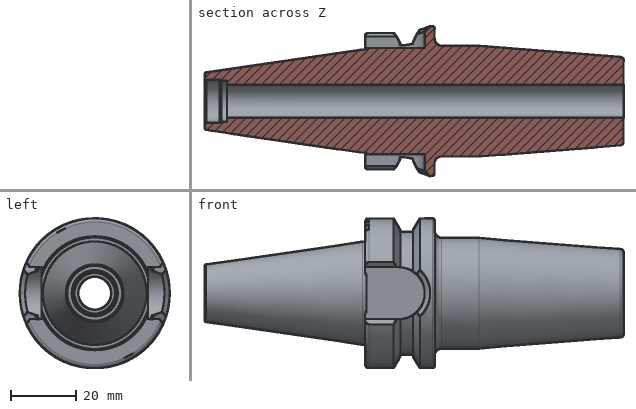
import cadquery as cq
import math

LENGTH = 128.4

GAUGE_X = 48.4
GAUGE_RADIUS = 15.86
TAPER_PER_LENGTH = 7 / 24
SMALL_END_RADIUS = GAUGE_RADIUS - GAUGE_X * TAPER_PER_LENGTH / 2
SHANK_CHAMFER = 0.4

FLANGE_RADIUS = 46.0 / 2
FLANGE_START = 49.2
FLANGE_END = 70.5
FRONT_FILLET = 1.2
BACK_FILLET = 0.8

RELIEF_DEPTH = 0.4
RELIEF_INNER_RADIUS = 17.1
RELIEF_OUTER_RADIUS = RELIEF_INNER_RADIUS + RELIEF_DEPTH

GROOVE_RADIUS = 18.9
GROOVE_STEP = 0.5
GROOVE_CENTER = 61.9
GROOVE_FLOOR_WIDTH = 3.9
GROOVE_WALL_ANGLE = 30.0

SLOT_WIDTH = 15.9
SLOT_FLOOR = 16.3
SLOT_ARC_CENTER = 59.5
SLOT_CHAMFER = 1.7

NOSE_RADIUS = 34.0 / 2
NECK_FILLET = 2.0
NOSE_TAPER_START = 84.0
NOSE_TAPER_ANGLE = 4.5
NOSE_END_FILLET = 1.3
NOSE_END_RADIUS = NOSE_RADIUS - (LENGTH - NOSE_TAPER_START) * math.tan(math.radians(NOSE_TAPER_ANGLE))

THROUGH_RADIUS = 10.0 / 2
PILOT_RADIUS = 13.1 / 2
PILOT_DEPTH = 4.6
SEAT_RADIUS = 12.5 / 2
SEAT_DEPTH = 6.8
STEP_LENGTH = 0.5
MOUTH_CHAMFER = 0.5


def turned(points):
    """Revolve a closed (x, radius) outline about the X axis."""
    return cq.Workplane("XY").polyline(points).close().revolve(360, (0, 0, 0), (1, 0, 0))


def make_shank():
    root_x = FLANGE_START + RELIEF_DEPTH
    shank = turned([
        (0, 0),
        (0, SMALL_END_RADIUS),
        (GAUGE_X, GAUGE_RADIUS),
        (root_x, GAUGE_RADIUS),
        (root_x, 0),
    ])
    return shank.faces("<X").edges().chamfer(SHANK_CHAMFER)


def make_drive_slot():
    half_width = SLOT_WIDTH / 2
    return (
        cq.Workplane("XZ", origin=(0, -SLOT_FLOOR, 0))
        .moveTo(0, half_width)
        .lineTo(SLOT_ARC_CENTER, half_width)
        .threePointArc((SLOT_ARC_CENTER + half_width, 0), (SLOT_ARC_CENTER, -half_width))
        .lineTo(0, -half_width)
        .close()
        .extrude(FLANGE_RADIUS)
    )


def make_groove():
    half_floor = GROOVE_FLOOR_WIDTH / 2
    wall_foot = GROOVE_RADIUS + GROOVE_STEP
    wall_run = (FLANGE_RADIUS - wall_foot) * math.tan(math.radians(GROOVE_WALL_ANGLE))
    half_mouth = half_floor + wall_run
    return turned([
        (GROOVE_CENTER - half_floor, GROOVE_RADIUS),
        (GROOVE_CENTER - half_floor, wall_foot),
        (GROOVE_CENTER - half_mouth, FLANGE_RADIUS),
        (GROOVE_CENTER - half_mouth, FLANGE_RADIUS + 1.3),
        (GROOVE_CENTER + half_mouth, FLANGE_RADIUS + 1.3),
        (GROOVE_CENTER + half_mouth, FLANGE_RADIUS),
        (GROOVE_CENTER + half_floor, wall_foot),
        (GROOVE_CENTER + half_floor, GROOVE_RADIUS),
    ])


def make_face_relief():
    return turned([
        (FLANGE_START, 0),
        (FLANGE_START, RELIEF_OUTER_RADIUS),
        (FLANGE_START + RELIEF_DEPTH, RELIEF_INNER_RADIUS),
        (FLANGE_START + RELIEF_DEPTH, 0),
    ])


def make_flange_envelope():
    """Rounded outside of the flange, without groove or slots."""
    blank = cq.Workplane("YZ", origin=(FLANGE_START, 0, 0)).circle(FLANGE_RADIUS)
    blank = blank.extrude(FLANGE_END - FLANGE_START)
    return blank.faces("<X").edges().fillet(FRONT_FILLET).faces(">X").edges().fillet(BACK_FILLET)


def make_flange():
    flange = cq.Workplane("YZ", origin=(FLANGE_START, 0, 0)).circle(FLANGE_RADIUS)
    flange = flange.extrude(FLANGE_END - FLANGE_START)
    slot = make_drive_slot()
    flange = flange.cut(slot).cut(slot.mirror("XZ"))
    clearance = 1.3
    half_mouth = SLOT_WIDTH / 2 + clearance
    for side in (-1, 1):
        mouth_y = sorted((side * (SLOT_FLOOR + clearance), side * (FLANGE_RADIUS + clearance)))
        mouth = cq.selectors.BoxSelector(
            (FLANGE_START + clearance, mouth_y[0], -half_mouth),
            (FLANGE_END - clearance, mouth_y[1], half_mouth),
        )
        flange = flange.edges(mouth).chamfer(SLOT_CHAMFER)
    return flange.intersect(make_flange_envelope()).cut(make_groove()).cut(make_face_relief())


def make_nose():
    nose = turned([
        (FLANGE_END, 0),
        (FLANGE_END, NOSE_RADIUS),
        (NOSE_TAPER_START, NOSE_RADIUS),
        (LENGTH, NOSE_END_RADIUS),
        (LENGTH, 0),
    ])
    return nose.faces(">X").edges().fillet(NOSE_END_FILLET)


def make_bore():
    return turned([
        (0, 0),
        (0, PILOT_RADIUS + MOUTH_CHAMFER),
        (MOUTH_CHAMFER, PILOT_RADIUS),
        (PILOT_DEPTH, PILOT_RADIUS),
        (PILOT_DEPTH + STEP_LENGTH, SEAT_RADIUS),
        (SEAT_DEPTH, SEAT_RADIUS),
        (SEAT_DEPTH, THROUGH_RADIUS),
        (LENGTH, THROUGH_RADIUS),
        (LENGTH, 0),
    ])


TOLERANCE = 0.01
body = make_flange().union(make_shank()).union(make_nose())
root_edges = [
    edge for edge in body.edges("%CIRCLE").vals()
    if abs(edge.Center().x - FLANGE_END) < TOLERANCE
    and abs(edge.radius() - NOSE_RADIUS) < TOLERANCE
]
body = body.newObject(root_edges).fillet(NECK_FILLET)
result = body.cut(make_bore())